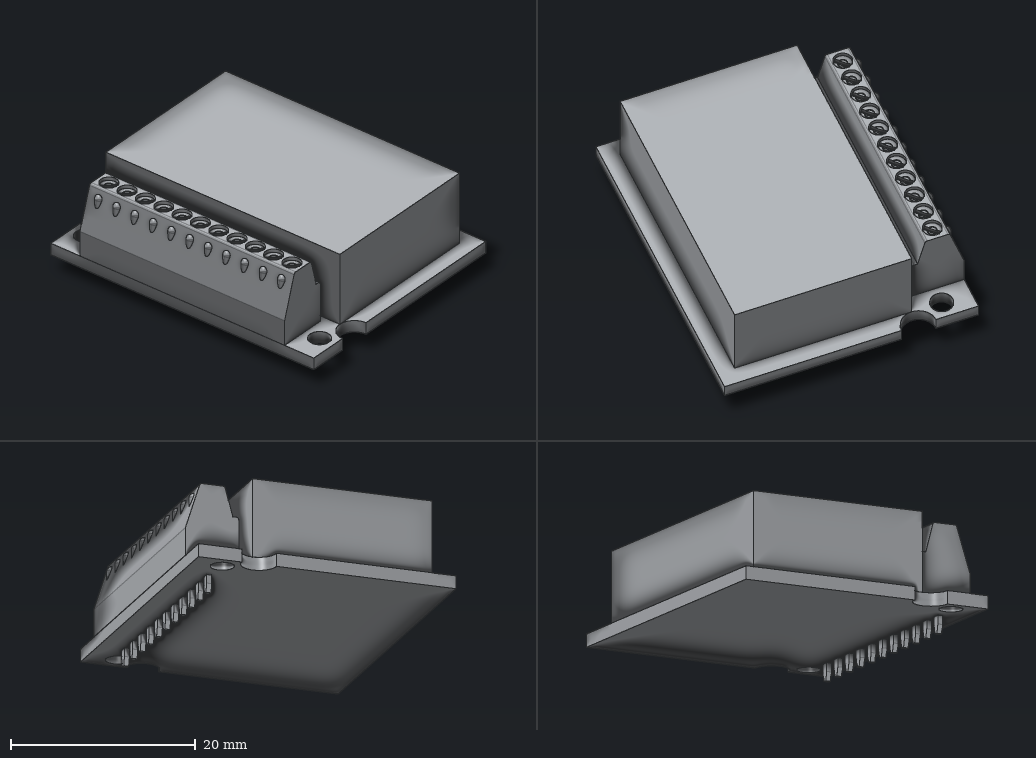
import cadquery as cq

board_width = 36.5
board_depth = 29.75
board_thickness = 1.5
edge_margin = 2.0

notch_radius = edge_margin
notch_from_front = 7.0
mount_hole_diameter = 2.6
mount_hole_from_front = notch_from_front / 2

housing_width = board_width - 2 * edge_margin
housing_depth = board_depth - notch_from_front - edge_margin
housing_height = 9.0

terminal_count = 11
terminal_row_length = 25.4
terminal_pitch = terminal_row_length / (terminal_count - 1)
terminal_width = 28.4
terminal_depth = 6.17
terminal_height = 8.5
terminal_edge_radius = 0.3
front_face_height = 3.18
top_front = 1.7
top_back = 4.55
ledge_front = 5.48
ledge_height = 5.1

screw_from_front = 3.15
screw_well_diameter = 2.15
screw_well_depth = 0.45
slot_width = 0.47
slot_depth = 0.5
slot_angle = 45
screw_dimple_diameter = 1.1
screw_dimple_depth = 0.1

stud_diameter = 1.1
stud_from_front = 1.55
stud_top = 7.77

pin_width = 0.88
pin_thickness = 0.6
pin_tip_width = 0.45
pin_length = 1.97
pin_taper_length = 1.0

terminal_xs = [i * terminal_pitch - terminal_row_length / 2 for i in range(terminal_count)]


def make_pin(x):
    """Flat solder pin that starts at the terminal block and narrows towards its tip."""
    tip_z = -board_thickness - pin_length
    taper_z = tip_z + pin_taper_length
    outline = [
        (x - pin_width / 2, 0),
        (x - pin_width / 2, taper_z),
        (x - pin_tip_width / 2, tip_z),
        (x + pin_tip_width / 2, tip_z),
        (x + pin_width / 2, taper_z),
        (x + pin_width / 2, 0),
    ]
    return (
        cq.Workplane("XZ", origin=(0, screw_from_front, 0))
        .polyline(outline)
        .close()
        .extrude(pin_thickness / 2, both=True)
    )


def make_board():
    """Board with edge notches, mounting holes and a fitting opening for each pin."""
    board = cq.Workplane("XY", origin=(0, 0, -board_thickness)).box(
        board_width, board_depth, board_thickness, centered=(True, False, False)
    )
    for side in (-1, 1):
        notch = cq.Workplane("XY").center(side * board_width / 2, notch_from_front).circle(notch_radius)
        board = board.cut(notch.extrude(-board_thickness))
        hole_x = side * (board_width / 2 - edge_margin)
        hole = cq.Workplane("XY").center(hole_x, mount_hole_from_front).circle(mount_hole_diameter / 2)
        board = board.cut(hole.extrude(-board_thickness))
    for x in terminal_xs:
        board = board.cut(make_pin(x))
    return board


def make_housing():
    """Plain rectangular housing behind the terminal block."""
    return cq.Workplane("XY", origin=(0, notch_from_front, 0)).box(
        housing_width, housing_depth, housing_height, centered=(True, False, False)
    )


def make_block():
    """Terminal block body: one profile along X, with rounded top and ledge edges."""
    profile = [
        (0, 0),
        (terminal_depth, 0),
        (terminal_depth, ledge_height),
        (ledge_front, ledge_height),
        (top_back, terminal_height),
        (top_front, terminal_height),
        (0, front_face_height),
    ]
    block = cq.Workplane("YZ").polyline(profile).close().extrude(terminal_width / 2, both=True)
    rounded_corners = [
        (top_front, terminal_height),
        (top_back, terminal_height),
        (terminal_depth, ledge_height),
    ]
    for y, z in rounded_corners:
        edge = cq.selectors.NearestToPointSelector((0, y, z))
        block = block.edges("|X").edges(edge).fillet(terminal_edge_radius)
    return block


def make_screw_recess(x):
    """Screw well, with the driver slot and centre dimple of the screw head below it."""
    head_z = terminal_height - screw_well_depth
    head = cq.Workplane("XY", origin=(x, screw_from_front, head_z))
    well = head.circle(screw_well_diameter / 2).extrude(screw_well_depth)
    slot = (
        head.transformed(rotate=(0, 0, slot_angle))
        .rect(screw_well_diameter, slot_width)
        .extrude(-slot_depth)
        .intersect(head.circle(screw_well_diameter / 2).extrude(-slot_depth))
    )
    dimple = head.circle(screw_dimple_diameter / 2).extrude(-screw_dimple_depth)
    return well.union(slot).union(dimple)


def make_stud(x):
    """Upright round stud with a hemispherical top, partly sunk in the sloping front."""
    radius = stud_diameter / 2
    shoulder_z = stud_top - radius
    stud = cq.Workplane("XY", origin=(x, stud_from_front, front_face_height)).circle(radius)
    dome = cq.Workplane("XY", origin=(x, stud_from_front, shoulder_z)).sphere(radius)
    return stud.extrude(shoulder_z - front_face_height).union(dome)


def make_terminal():
    """Terminal block with its studs, screw heads and solder pins."""
    terminal = make_block()
    for x in terminal_xs:
        terminal = terminal.union(make_stud(x)).union(make_pin(x))
        terminal = terminal.cut(make_screw_recess(x))
    return terminal


board = make_board()
housing = make_housing()
terminal = make_terminal()

result = cq.Compound.makeCompound([board.val(), housing.val(), terminal.val()])